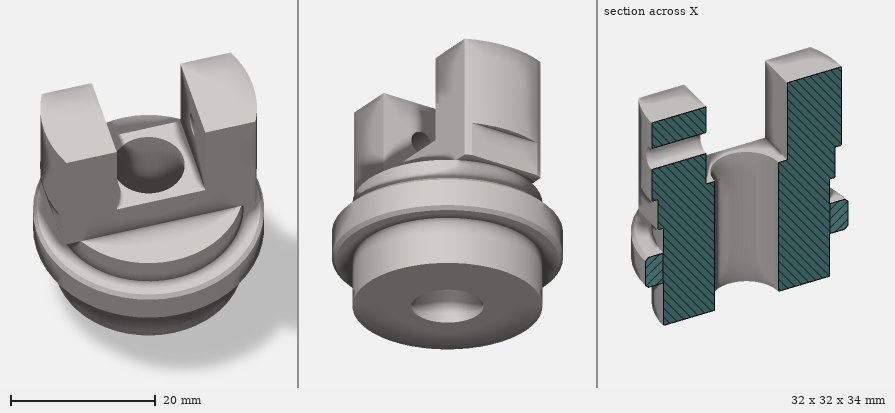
import cadquery as cq

total_height = 34.0
shank_height = 16.0
shank_diameter = 26.28
bore_diameter = 10.0

collar_diameter = 32.0
collar_bottom = 7.0
collar_height = 5.0
collar_chamfer = 0.5

fork_diameter = 30.0
fork_width = 12.7
fork_height = total_height - shank_height
slot_width = fork_width
slot_depth = 12.7
slot_floor = total_height - slot_depth

flat_spacing = 27.95
flat_top = 21.0
flat_height = flat_top - shank_height

cross_hole_diameter = 3.4
cross_hole_height = total_height - 6.0


def cylinder(diameter, bottom, height):
    """Upright cylinder on the Z axis."""
    return cq.Workplane("XY").workplane(offset=bottom).circle(diameter / 2).extrude(height)


def block(x_size, y_size, bottom, height):
    """Upright block centred on the Z axis."""
    return cq.Workplane("XY").workplane(offset=bottom).rect(x_size, y_size).extrude(height)


def make_collar():
    """Ring around the shank, chamfered on both outer rims."""
    ring = cylinder(collar_diameter, collar_bottom, collar_height).edges("%CIRCLE").chamfer(collar_chamfer)
    return ring.cut(cylinder(shank_diameter, collar_bottom, collar_height))


def make_fork():
    """Two-armed fork on a round shank, with flats, a through bore and a cross hole."""
    fork = cylinder(fork_diameter, shank_height, fork_height)
    fork = fork.intersect(block(fork_width, fork_diameter, shank_height, fork_height))

    fork = fork.cut(block(fork_width, slot_width, slot_floor, slot_depth))

    foot = block(fork_width, fork_diameter, shank_height, flat_height)
    between_flats = block(fork_width, flat_spacing, shank_height, flat_height)
    fork = fork.cut(foot.cut(between_flats))

    fork = fork.union(cylinder(shank_diameter, 0, shank_height))
    fork = fork.cut(cylinder(bore_diameter, 0, slot_floor))

    cross_hole = (
        cq.Workplane("XZ")
        .center(0, cross_hole_height)
        .circle(cross_hole_diameter / 2)
        .extrude(-fork_diameter / 2)
    )
    return fork.cut(cross_hole)


collar = make_collar()
fork = make_fork()

result = cq.Compound.makeCompound([collar.val(), fork.val()])